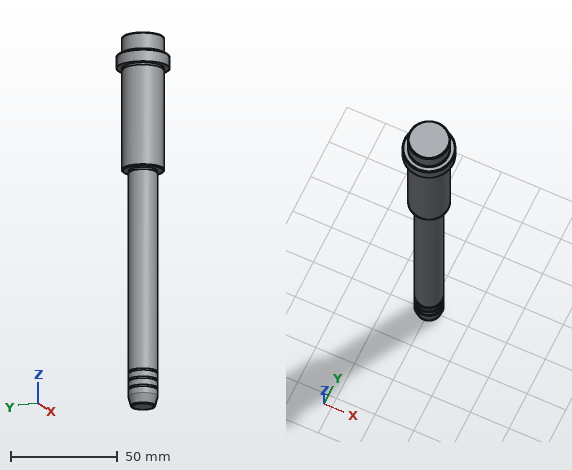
import cadquery as cq

TOTAL_LENGTH = 180.0

BODY_RADIUS = 20.0 / 2
HEAD_HEIGHT = 9.0
BODY_BOTTOM = 115.0
BODY_CHAMFER = 0.5

FLANGE_RADIUS = 25.0 / 2
FLANGE_HEIGHT = 6.0
FLANGE_CHAMFER = 0.5
RELIEF_WIDTH = 1.0
RELIEF_DEPTH = 0.4

PIN_RADIUS = 14.0 / 2
NECK_HEIGHT = 1.0
NECK_DEPTH = 0.4

TAPER_HEIGHT = 5.0
TAPER_END_RADIUS = 5.8
TIP_CHAMFER = 0.5

GROOVE_COUNT = 3
GROOVE_WIDTH = 0.9
GROOVE_DEPTH = 0.4
GROOVE_PITCH = 4.0
LOWEST_GROOVE_CENTER = 8.5

FLANGE_TOP = TOTAL_LENGTH - HEAD_HEIGHT
FLANGE_BOTTOM = FLANGE_TOP - FLANGE_HEIGHT


def cylinder(radius, bottom, top):
    """Solid cylinder on the Z axis between two heights."""
    return cq.Workplane("XY").workplane(offset=bottom).circle(radius).extrude(top - bottom)


def revolve_about_z(profile):
    """Full turn of a closed XZ profile around the Z axis."""
    return profile.revolve(360, (0, 0, 0), (0, 1, 0))


def round_groove(outer_radius, depth, center, width):
    """Ring-shaped cutter that leaves a round-bottomed groove of the given depth and mouth width."""
    top = center + width / 2
    bottom = center - width / 2
    profile = (
        cq.Workplane("XZ")
        .moveTo(outer_radius + depth, bottom)
        .lineTo(outer_radius, bottom)
        .threePointArc((outer_radius - depth, center), (outer_radius, top))
        .lineTo(outer_radius + depth, top)
        .close()
    )
    return revolve_about_z(profile)


def make_pin():
    """Pin with its tapered tip and neck, revolved, then grooved."""
    profile = [
        (0, 0),
        (TAPER_END_RADIUS - TIP_CHAMFER, 0),
        (TAPER_END_RADIUS, TIP_CHAMFER),
        (PIN_RADIUS, TAPER_HEIGHT),
        (PIN_RADIUS, BODY_BOTTOM - NECK_HEIGHT),
        (PIN_RADIUS - NECK_DEPTH, BODY_BOTTOM - NECK_HEIGHT),
        (PIN_RADIUS - NECK_DEPTH, BODY_BOTTOM),
        (0, BODY_BOTTOM),
    ]
    pin = revolve_about_z(cq.Workplane("XZ").polyline(profile).close())
    for index in range(GROOVE_COUNT):
        center = LOWEST_GROOVE_CENTER + index * GROOVE_PITCH
        pin = pin.cut(round_groove(PIN_RADIUS, GROOVE_DEPTH, center, GROOVE_WIDTH))
    return pin


def make_body():
    """Head and guide body as one cylinder, chamfered and relieved beside the flange."""
    body = cylinder(BODY_RADIUS, BODY_BOTTOM, TOTAL_LENGTH).faces("<Z or >Z").chamfer(BODY_CHAMFER)
    for center in (FLANGE_TOP + RELIEF_WIDTH / 2, FLANGE_BOTTOM - RELIEF_WIDTH / 2):
        body = body.cut(round_groove(BODY_RADIUS, RELIEF_DEPTH, center, RELIEF_WIDTH))
    return body


def make_flange():
    """Flange disc with its upper rim chamfered."""
    return cylinder(FLANGE_RADIUS, FLANGE_BOTTOM, FLANGE_TOP).faces(">Z").chamfer(FLANGE_CHAMFER)


result = make_pin().union(make_body()).union(make_flange())